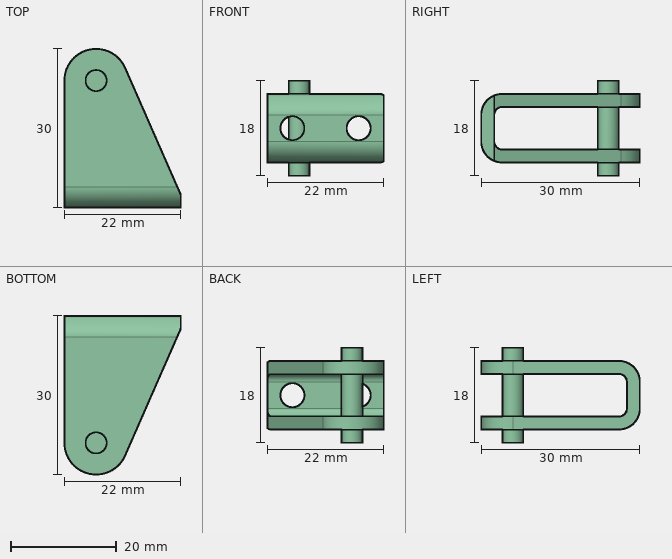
import cadquery as cq
import math

width = 22.0
length = 30.0
height = 13.0
wall = 2.5
outer_bend_radius = 4.0
inner_bend_radius = outer_bend_radius - wall

nose_radius = 6.0
front_edge_length = 2.5

pin_diameter = 4.0
pin_length = 18.0
pin_x = nose_radius
pin_y = length - nose_radius

hole_diameter = 4.5
hole_spacing = 12.5


def channel():
    """U-shaped channel along X, open toward +Y, centred on Z = 0."""
    outer = (
        cq.Workplane("XY")
        .box(width, length, height, centered=(False, False, True))
        .faces("<Y").edges("|X").fillet(outer_bend_radius)
    )
    inner = (
        cq.Workplane("XY")
        .box(width, length, height - 2 * wall, centered=(False, False, True))
        .translate((0, wall, 0))
        .faces("<Y").edges("|X").fillet(inner_bend_radius)
    )
    return outer.cut(inner)


def cheek_profile():
    """Plan outline: straight left side, round nose, sloping side tangent to the nose."""
    corner_dx = width - pin_x
    corner_dy = front_edge_length - pin_y
    corner_distance = math.hypot(corner_dx, corner_dy)
    tangent_angle = math.atan2(corner_dy, corner_dx) + math.acos(nose_radius / corner_distance)
    tangent_point = (
        pin_x + nose_radius * math.cos(tangent_angle),
        pin_y + nose_radius * math.sin(tangent_angle),
    )
    return (
        cq.Workplane("XY", origin=(0, 0, -height / 2))
        .lineTo(width, 0)
        .lineTo(width, front_edge_length)
        .lineTo(*tangent_point)
        .threePointArc((pin_x, length), (0, pin_y))
        .close()
        .extrude(height)
    )


def mounting_holes():
    """Two round cutters through the web, placed symmetrically across the width."""
    return (
        cq.Workplane("XZ", origin=(width / 2, 0, 0))
        .pushPoints([(-hole_spacing / 2, 0), (hole_spacing / 2, 0)])
        .circle(hole_diameter / 2)
        .extrude(-wall)
    )


def cross_pin():
    """Pin through both cheeks, protruding equally above and below."""
    return (
        cq.Workplane("XY", origin=(pin_x, pin_y, -pin_length / 2))
        .circle(pin_diameter / 2)
        .extrude(pin_length)
    )


bracket = channel().intersect(cheek_profile()).cut(mounting_holes())
result = bracket.union(cross_pin())